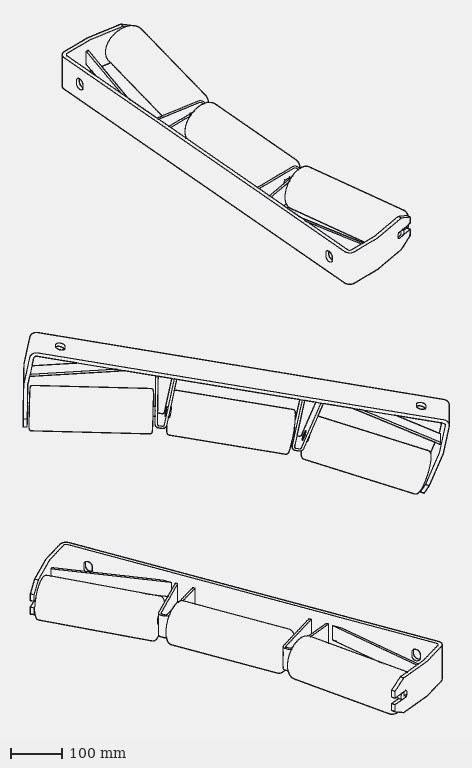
import cadquery as cq
import math

frame_width = 830.0
frame_height = 80.0
frame_thickness = 8.0
frame_bend_radius = 13.0
arm_bend_y = 75.0
arm_tip_y = 178.5
arm_chamfer_length = 30.0
arm_chamfer_height = 17.5
trough_angle = 10.0
mount_slot_width = 18.0
mount_slot_height = 26.0
mount_slot_x = 357.0

roller_diameter = 89.0
roller_length = 240.0
roller_rim_radius = 5.0
roller_gap = 4.0
shaft_diameter = 20.0
shaft_flat_width = 15.0
centre_roller_y = 101.0
arm_seat_y = 148.0
inner_seat_drop = 7.0

bracket_thickness = 5.0
bracket_bend_radius = 8.0
bracket_top_y = 126.0
bracket_height = 50.0

gusset_thickness = 5.0
gusset_height = 33.0
gusset_arm_y = 69.0
gusset_foot_x = 175.0

lean_cos = math.cos(math.radians(trough_angle))
lean_sin = math.sin(math.radians(trough_angle))
lean_tan = math.tan(math.radians(trough_angle))
half_width = frame_width / 2
mid_z = frame_height / 2
inner_seat_z = mid_z - inner_seat_drop
roller_half_span = roller_length / 2 + roller_gap
arm_inner_bend_x = half_width - frame_thickness
arm_inner_bend_y = arm_bend_y - frame_thickness * math.tan(math.radians(trough_angle / 2))

outer_seat = cq.Vector(arm_inner_bend_x - (arm_seat_y - arm_inner_bend_y) * lean_tan, arm_seat_y, mid_z)
inner_seat = cq.Vector(
    outer_seat.x - 2 * roller_half_span * lean_cos,
    outer_seat.y - 2 * roller_half_span * lean_sin,
    inner_seat_z,
)
side_roller_plane = cq.Plane((outer_seat + inner_seat) * 0.5, (0, 0, 1), outer_seat - inner_seat)
centre_roller_plane = cq.Plane((0, centre_roller_y, inner_seat_z), (0, 0, 1), (1, 0, 0))


def mirrored(body):
    return body.mirror("YZ")


def offset_path(path, distance):
    """Path moved to its left by a distance, with mitred corners."""
    normals = []
    for (x0, y0), (x1, y1) in zip(path, path[1:]):
        length = math.hypot(x1 - x0, y1 - y0)
        normals.append(((y0 - y1) / length, (x1 - x0) / length))
    moved = []
    for (x, y), before, after in zip(path, normals[:1] + normals, normals + normals[-1:]):
        mitre = distance / (1 + before[0] * after[0] + before[1] * after[1])
        moved.append((x + mitre * (before[0] + after[0]), y + mitre * (before[1] + after[1])))
    return moved


def fillet_corners(body, corners, radius):
    """Round the upright edges that stand on the given corner points."""
    reach = 0.1
    for x, y in corners:
        box = cq.selectors.BoxSelector((x - reach, y - reach, -frame_width), (x + reach, y + reach, frame_width))
        body = body.edges("|Z").edges(box).fillet(radius)
    return body


def bent_strip(outer_path, thickness, outer_radius, bottom_z, height):
    """Upright sheet strip lying to the left of its outer path, with rounded bends."""
    inner_path = offset_path(outer_path, thickness)
    strip = cq.Workplane("XY", origin=(0, 0, bottom_z)).polyline(outer_path + inner_path[::-1]).close()
    strip = strip.extrude(height)
    strip = fillet_corners(strip, outer_path[1:-1], outer_radius)
    return fillet_corners(strip, inner_path[1:-1], outer_radius - thickness)


def centred_cylinder(plane, diameter, length):
    return cq.Workplane(plane).workplane(offset=-length / 2).circle(diameter / 2).extrude(length)


def shaft(plane, end_reach):
    """Round shaft with two flats where its ends sit in the plates; end_reach is (start, end)."""
    start, end = end_reach
    rod = cq.Workplane(plane).workplane(offset=-start).circle(shaft_diameter / 2).extrude(start + end)
    flats = cq.Workplane(plane).workplane(offset=-start).rect(shaft_flat_width, shaft_diameter)
    flats = flats.extrude(start + end)
    round_part = centred_cylinder(plane, shaft_diameter, 2 * roller_half_span)
    return rod.intersect(flats).union(round_part)


def roller(plane, shaft_body):
    drum = centred_cylinder(plane, roller_diameter, roller_length)
    return drum.edges().fillet(roller_rim_radius).union(shaft_body)


inner_reach = roller_half_span + bracket_thickness
outer_reach = roller_half_span + frame_thickness
side_shaft = shaft(side_roller_plane, (inner_reach, outer_reach))
centre_shaft = shaft(centre_roller_plane, (inner_reach, inner_reach))


def arm_corner_trim():
    """Material outside the two chamfered tip corners of the right-hand arm."""
    seat = cq.Plane(outer_seat.toTuple(), (-lean_sin, lean_cos, 0), (lean_cos, lean_sin, 0))
    tip = (arm_tip_y - arm_seat_y) / lean_cos
    trim = cq.Workplane(seat).workplane(offset=-frame_thickness)
    for side in (-1, 1):
        edge = side * mid_z
        trim = trim.moveTo(tip - arm_chamfer_length, edge).lineTo(tip + arm_chamfer_length, edge)
        trim = trim.lineTo(tip + arm_chamfer_length, edge - 2 * side * arm_chamfer_height).close()
    return trim.extrude(3 * frame_thickness)


def arm_shaft_slot():
    """Slot from the right-hand arm's tip down to its shaft seat."""
    length = 2 * (arm_tip_y - arm_seat_y)
    slot = cq.Workplane(side_roller_plane).center(0, -length / 2).rect(shaft_flat_width, length)
    slot = slot.extrude(outer_reach + frame_thickness)
    return slot


def make_frame():
    tip_x = half_width - (arm_tip_y - arm_bend_y) * lean_tan
    right_path = [(half_width, 0), (half_width, arm_bend_y), (tip_x, arm_tip_y)]
    left_path = [(-x, y) for x, y in reversed(right_path)]
    frame = bent_strip(left_path + right_path, frame_thickness, frame_bend_radius, 0, frame_height)
    mount_slots = cq.Workplane("XZ", origin=(0, 0, mid_z)).pushPoints([(-mount_slot_x, 0), (mount_slot_x, 0)])
    mount_slots = mount_slots.slot2D(mount_slot_height, mount_slot_width, 90).extrude(-frame_thickness)
    frame = frame.cut(mount_slots)
    for cutter in (arm_corner_trim(), arm_shaft_slot(), side_shaft):
        frame = frame.cut(cutter).cut(mirrored(cutter))
    return frame


def make_bracket():
    centre_face_x = roller_half_span
    foot_x = inner_seat.x + (inner_seat.y - frame_thickness) * lean_tan
    top_x = foot_x - (bracket_top_y - frame_thickness) * lean_tan
    path = [
        (foot_x, frame_thickness),
        (top_x, bracket_top_y),
        (centre_face_x, bracket_top_y),
        (centre_face_x, frame_thickness),
    ]
    bottom_z = inner_seat_z - bracket_height / 2
    strip = bent_strip(path, bracket_thickness, bracket_bend_radius, bottom_z, bracket_height)
    foot_room = cq.Workplane("XY").box(frame_width, frame_thickness, frame_height, centered=(True, False, False))
    return strip.cut(foot_room).cut(side_shaft).cut(centre_shaft)


def make_gusset():
    run = arm_inner_bend_x - gusset_foot_x
    rise = gusset_arm_y - frame_thickness
    drop = gusset_thickness * math.hypot(run, rise) / run
    upper = [(gusset_foot_x, frame_thickness), (arm_inner_bend_x, gusset_arm_y)]
    lower = [
        (arm_inner_bend_x, gusset_arm_y - drop),
        (gusset_foot_x + drop * run / rise, frame_thickness),
    ]
    sheet = cq.Workplane("XY", origin=(0, 0, mid_z - gusset_height / 2)).polyline(upper + lower).close()
    return sheet.extrude(gusset_height)


frame = make_frame()
centre_roller = roller(centre_roller_plane, centre_shaft)
side_roller = roller(side_roller_plane, side_shaft)
bodies = [frame, centre_roller]
for right_body in (side_roller, make_bracket(), make_gusset()):
    bodies += [right_body, mirrored(right_body)]

result = cq.Compound.makeCompound([body.val() for body in bodies])